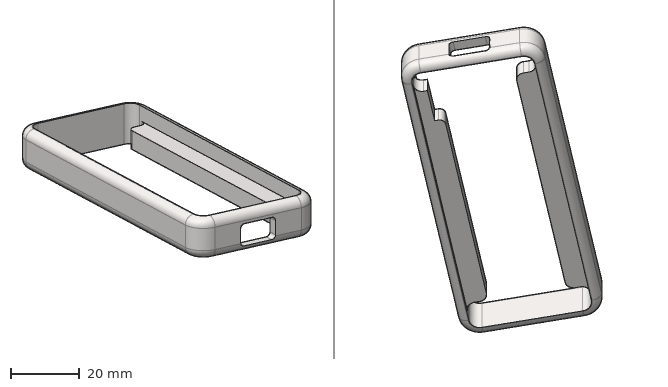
import cadquery as cq
import math

length = 97.4
width = 42.4
height = 12.6
wall = 3.0
corner_radius = 6.2
edge_radius = 2.8

rail_top = 1.6
rail_bottom = -4.3
rail_inner_y = 11.6
rear_rail_end_x = 38.6
front_rail_left_x = -38.0
front_rail_right_x = 37.9
rail_radius = 2.4

step_x = 27.1
step_y = 14.5
step_radius = 1.85

port_width = 12.1
port_height = 6.9
port_center_z = -1.0
port_radius = 1.3

inner_y = width / 2 - wall
inner_radius = corner_radius - wall
rail_embed = wall / 2


def make_frame():
    outer = (
        cq.Workplane("XY")
        .box(length, width, height)
        .edges("|Z")
        .fillet(corner_radius)
        .faces("<Z or >Z")
        .edges()
        .fillet(edge_radius)
    )
    opening = (
        cq.Workplane("XY")
        .box(length - 2 * wall, width - 2 * wall, height)
        .edges("|Z")
        .fillet(inner_radius)
    )
    return outer.cut(opening)


def extrude_rail(outline):
    return outline.close().extrude(rail_top - rail_bottom)


def rail_plane():
    return cq.Workplane("XY", origin=(0, 0, rail_bottom))


def round_vertical_edge(body, x, y, radius):
    edge_middle = (x, y, (rail_top + rail_bottom) / 2)
    return body.edges(cq.selectors.NearestToPointSelector(edge_middle)).fillet(radius)


def make_rail(left_x, right_x, side):
    """Rectangular rail; its roots are flared separately."""
    depth = inner_y + rail_embed - rail_inner_y
    center_y = side * (rail_inner_y + depth / 2)
    outline = rail_plane().center((left_x + right_x) / 2, center_y).rect(right_x - left_x, depth)
    return outline.extrude(rail_top - rail_bottom)


def make_root(end_x, direction, side):
    """Concave root fillet between the end of a rail and the wall."""
    tip_x = end_x + direction * rail_radius
    middle = rail_radius * (1 - math.cos(math.pi / 4))
    outline = (
        rail_plane()
        .moveTo(end_x, side * (inner_y - rail_radius))
        .threePointArc((end_x + direction * middle, side * (inner_y - middle)), (tip_x, side * inner_y))
        .lineTo(tip_x, side * (inner_y + rail_embed))
        .lineTo(end_x, side * (inner_y + rail_embed))
    )
    return extrude_rail(outline)


def make_rear_rail():
    rail = make_rail(-rear_rail_end_x, rear_rail_end_x, 1)
    for direction in (-1, 1):
        end_x = direction * rear_rail_end_x
        rail = round_vertical_edge(rail, end_x, rail_inner_y, rail_radius)
        rail = rail.union(make_root(end_x, direction, 1))
    return rail


def make_front_rail():
    rail = make_rail(front_rail_left_x, front_rail_right_x, -1)
    step = (
        rail_plane()
        .moveTo(step_x, -step_y)
        .lineTo(front_rail_right_x, -step_y)
        .lineTo(front_rail_right_x, -rail_inner_y)
        .lineTo(step_x, -rail_inner_y)
    )
    rail = rail.cut(extrude_rail(step))
    rail = round_vertical_edge(rail, front_rail_left_x, -rail_inner_y, rail_radius)
    rail = round_vertical_edge(rail, step_x, -rail_inner_y, step_radius)
    rail = rail.union(make_root(front_rail_left_x, -1, -1))
    return rail.union(make_root(front_rail_right_x, 1, -1))


def make_port():
    return (
        cq.Workplane("XY")
        .box(2 * wall, port_width, port_height)
        .edges("|X")
        .fillet(port_radius)
        .translate((length / 2 - wall / 2, 0, port_center_z))
    )


result = make_frame().union(make_rear_rail()).union(make_front_rail()).cut(make_port())